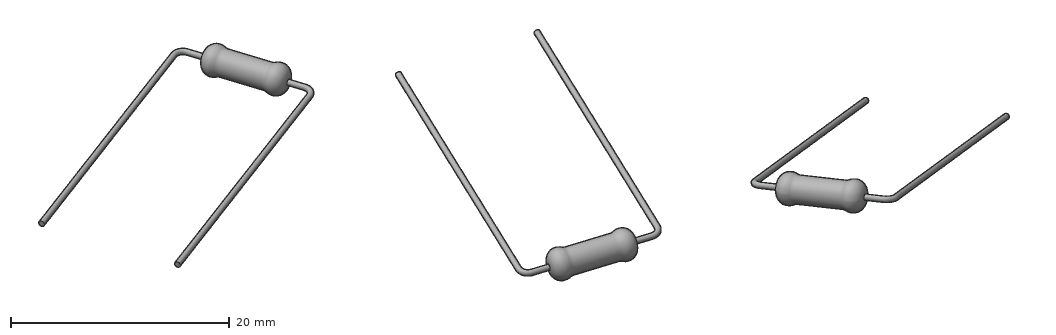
import cadquery as cq
import math

overall_width = 14.45
overall_depth = 30.3

body_length = 8.57
cap_diameter = 3.18
barrel_diameter = 2.73
cap_round_radius = 1.12
barrel_start = 2.05

wire_diameter = 0.6
bend_radius = 0.95

half_length = body_length / 2
cap_radius = cap_diameter / 2
barrel_radius = barrel_diameter / 2
end_face_radius = cap_radius - cap_round_radius
lead_x = (overall_width - wire_diameter) / 2
lead_tip_y = cap_radius - overall_depth

neck_run = barrel_start - cap_round_radius
barrel_rise = barrel_radius - end_face_radius
neck_radius = (neck_run**2 + barrel_rise**2 - cap_round_radius**2) / (2 * (cap_round_radius - barrel_rise))
neck_angle = math.atan2(barrel_rise + neck_radius, neck_run)

cap_center_x = half_length - cap_round_radius
barrel_end_x = half_length - barrel_start


def cap_point(angle):
    """Point on the right cap round, at an angle measured from the -X direction."""
    x = cap_center_x - cap_round_radius * math.cos(angle)
    radius = end_face_radius + cap_round_radius * math.sin(angle)
    return x, radius


def neck_point(angle):
    """Point on the right neck, at an angle below the +X direction."""
    x = barrel_end_x + neck_radius * math.cos(angle)
    radius = barrel_radius + neck_radius - neck_radius * math.sin(angle)
    return x, radius


def mirrored(point):
    x, radius = point
    return -x, radius


def make_body():
    """Dumbbell-shaped resistor body, revolved about X."""
    cap_edge = (half_length, end_face_radius)
    cap_middle = cap_point((math.pi + neck_angle) / 2)
    neck_edge = cap_point(neck_angle)
    neck_middle = neck_point((neck_angle + math.pi / 2) / 2)
    barrel_edge = (barrel_end_x, barrel_radius)
    profile = (
        cq.Workplane("XY")
        .moveTo(half_length, 0)
        .lineTo(*cap_edge)
        .threePointArc(cap_middle, neck_edge)
        .threePointArc(neck_middle, barrel_edge)
        .lineTo(*mirrored(barrel_edge))
        .threePointArc(mirrored(neck_middle), mirrored(neck_edge))
        .threePointArc(mirrored(cap_middle), mirrored(cap_edge))
        .lineTo(-half_length, 0)
        .close()
    )
    return profile.revolve(360, (0, 0, 0), (1, 0, 0))


def make_lead(side):
    """Round wire from one end face, bent toward -Y; side is -1 or 1 along X."""
    bend_start_x = lead_x - bend_radius
    bend_middle_x = bend_start_x + bend_radius * math.sin(math.pi / 4)
    bend_middle_y = bend_radius * (math.cos(math.pi / 4) - 1)
    path = (
        cq.Workplane("XY")
        .moveTo(side * half_length, 0)
        .lineTo(side * bend_start_x, 0)
        .threePointArc((side * bend_middle_x, bend_middle_y), (side * lead_x, -bend_radius))
        .lineTo(side * lead_x, lead_tip_y)
    )
    section = cq.Workplane("YZ", origin=(side * half_length, 0, 0)).circle(wire_diameter / 2)
    return section.sweep(path)


body = make_body()
leads = [make_lead(side) for side in (-1, 1)]

result = cq.Compound.makeCompound([body.val(), *[lead.val() for lead in leads]])